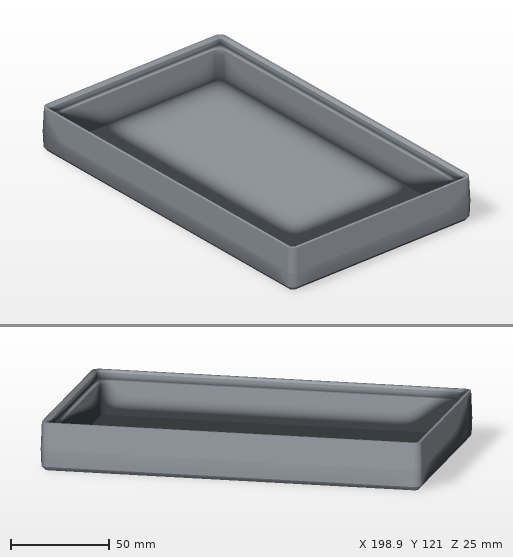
import cadquery as cq
import math

length = 198.9
width = 121.0
height = 25.0
parting_height = 10.7
corner_radius = 4.0
draft_angle = 2.0
bottom_chamfer_height = 2.2
bottom_chamfer_width = 1.8

rim_inset = 2.0
lead_in_width = 1.2
lead_in_depth = 1.2
recess_inset = rim_inset + lead_in_width
recess_corner_radius = 1.0
ledge_depth = 4.5
cavity_inset = 6.0
cavity_corner_radius = 3.4
floor_thickness = 2.4


def rounded_outline(inset, radius):
    """Rounded rectangle set in from the widest outer outline."""
    return (
        cq.Sketch()
        .rect(length - 2 * inset, width - 2 * inset)
        .vertices()
        .fillet(radius)
    )


def block(inset, radius, bottom, top):
    """Straight-walled rounded block between two heights."""
    return (
        cq.Workplane("XY", origin=(0, 0, bottom))
        .placeSketch(rounded_outline(inset, radius))
        .extrude(top - bottom)
    )


def tapered_block(lower, upper, bottom, top):
    """Rounded block between two (inset, radius) outlines."""
    upper_outline = rounded_outline(*upper).moved(cq.Location(cq.Vector(0, 0, top - bottom)))
    return (
        cq.Workplane("XY", origin=(0, 0, bottom))
        .placeSketch(rounded_outline(*lower), upper_outline)
        .loft(ruled=True)
    )


def make_shell():
    """Solid outer form, drafted away from the parting line and chamfered below."""
    draft = math.tan(math.radians(draft_angle))
    top_inset = (height - parting_height) * draft
    bottom_inset = (parting_height - bottom_chamfer_height) * draft
    widest = (0, corner_radius)
    upper = tapered_block(widest, (top_inset, corner_radius), parting_height, height)
    chamfer_top = (bottom_inset, corner_radius)
    base = (bottom_inset + bottom_chamfer_width, corner_radius - bottom_chamfer_width)
    lower = tapered_block(chamfer_top, widest, bottom_chamfer_height, parting_height)
    chamfer = tapered_block(base, chamfer_top, 0, bottom_chamfer_height)
    return upper.union(lower).union(chamfer)


def make_opening():
    """Lead-in chamfer, ledge recess and main cavity, as one cutter."""
    ledge_height = height - ledge_depth
    lead_in_height = height - lead_in_depth
    cavity = block(cavity_inset, cavity_corner_radius, floor_thickness, ledge_height)
    recess = block(recess_inset, recess_corner_radius, ledge_height, lead_in_height)
    lead_in = tapered_block(
        (recess_inset, recess_corner_radius),
        (rim_inset, recess_corner_radius + lead_in_width),
        lead_in_height,
        height,
    )
    return cavity.union(recess).union(lead_in)


result = make_shell().cut(make_opening())